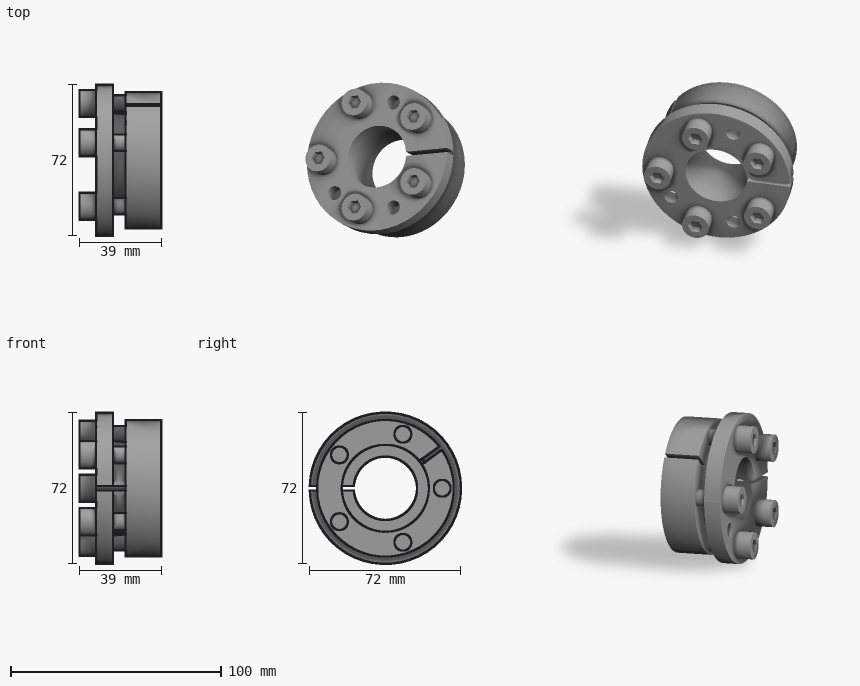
import cadquery as cq
import math


flange_thickness = 8.0
gap = 6.0
ring_length = 17.0
ring_start = flange_thickness + gap
assembly_end = ring_start + ring_length

bore_radius = 30.0 / 2
flange_radius = 72.0 / 2
ring_radius = 65.0 / 2
taper_start_radius = 45.0 / 2
taper_angle = 4.5
slit_width = 2.0
cut_margin = 1.0

screw_count = 5
pitch_radius = 27.0
shank_radius = 8.0 / 2
head_radius = 13.0 / 2
head_height = 8.0
socket_sides = 6
socket_across_flats = 6.0
socket_depth = 4.0
extraction_hole_radius = 6.8 / 2

angle_step = 360.0 / screw_count
screw_angles = [(i + 0.5) * angle_step for i in range(screw_count)]
sleeve_slit_angle = 0.0
ring_slit_angle = 3 * angle_step
extraction_hole_angles = [i * angle_step for i in (1, 2, 4)]


def taper_radius(x):
    """Radius of the shared sleeve and ring cone, which narrows toward +X."""
    return taper_start_radius - (x - flange_thickness) * math.tan(math.radians(taper_angle))


def cross_plane(x):
    """Plane across the axis at x, facing +X, with its local x axis along -Y."""
    return cq.Workplane(cq.Plane(origin=(x, 0, 0), xDir=(0, -1, 0), normal=(1, 0, 0)))


def pitch_point(angle):
    """Point of the pitch circle in cross plane coordinates."""
    turn = math.radians(angle)
    return (pitch_radius * math.cos(turn), pitch_radius * math.sin(turn))


def cylinders(angles, radius, start, end):
    """Cylinders on the pitch circle, running from start to end along X."""
    points = [pitch_point(angle) for angle in angles]
    return cross_plane(start).pushPoints(points).circle(radius).extrude(end - start)


def revolve_about_x(outline):
    """Solid of revolution from (x, radius) points."""
    return cq.Workplane("XY").polyline(outline).close().revolve(360, (0, 0, 0), (1, 0, 0))


def radial_slit(angle):
    """Cutter for a full-length slit from the axis outward at the given angle."""
    slit_depth = flange_radius + cut_margin
    outline = cross_plane(0).rect(slit_depth, slit_width, centered=(False, True))
    slit = outline.extrude(assembly_end)
    return slit.rotate((0, 0, 0), (1, 0, 0), angle)


def make_sleeve():
    """Flange and taper sleeve in one piece, slit along its whole length."""
    sleeve = revolve_about_x([
        (0, bore_radius),
        (0, flange_radius),
        (flange_thickness, flange_radius),
        (flange_thickness, taper_start_radius),
        (assembly_end, taper_radius(assembly_end)),
        (assembly_end, bore_radius),
    ])
    sleeve = sleeve.cut(cylinders(screw_angles, shank_radius, 0, flange_thickness))
    sleeve = sleeve.cut(cylinders(extraction_hole_angles, extraction_hole_radius, 0, flange_thickness))
    return sleeve.cut(radial_slit(sleeve_slit_angle))


def make_ring():
    """Clamping ring with a tapered bore, slit on one side."""
    ring = revolve_about_x([
        (ring_start, taper_radius(ring_start)),
        (ring_start, ring_radius),
        (assembly_end, ring_radius),
        (assembly_end, taper_radius(assembly_end)),
    ])
    ring = ring.cut(cylinders(screw_angles, shank_radius, ring_start, assembly_end))
    return ring.cut(radial_slit(ring_slit_angle))


def make_screw(angle):
    """Socket head screw seated on the flange and reaching the ring's far face."""
    head = cylinders([angle], head_radius, -head_height, 0)
    shank = cylinders([angle], shank_radius, 0, assembly_end)
    across_corners = socket_across_flats / math.cos(math.pi / socket_sides)
    socket_position = cross_plane(-head_height).center(*pitch_point(angle))
    socket = socket_position.polygon(socket_sides, across_corners).extrude(socket_depth)
    return head.union(shank).cut(socket)


sleeve = make_sleeve()
ring = make_ring()
screws = [make_screw(angle) for angle in screw_angles]

result = cq.Compound.makeCompound([sleeve.val(), ring.val(), *[screw.val() for screw in screws]])